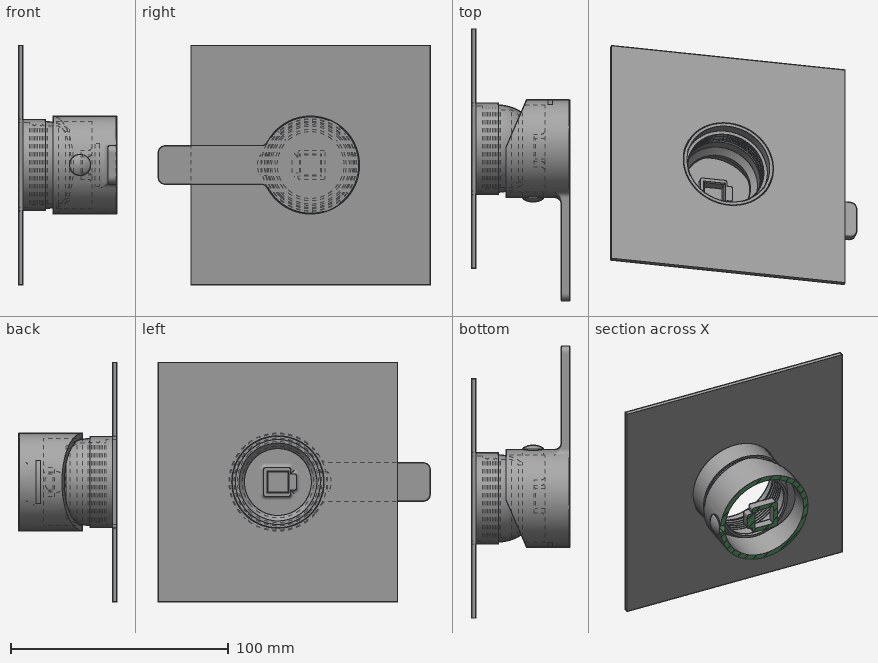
import cadquery as cq
import math


PLATE_SIDE = 110.0
PLATE_THICKNESS = 2.0
PLATE_HOLE_RADIUS = 21.3

COLLAR_RADIUS = 21.0
COLLAR_LENGTH = 12.3
COLLAR_BORE_RADIUS = 19.5
COLLAR_BORE_DEPTH = 5.0
DOME_RADIUS = 20.1
DOME_CENTRE_X = 11.8
DOME_END_X = 23.4
DOME_OPENING_RADIUS = 15.4
DOME_OPENING_X = 21.6
DOME_INNER_RADIUS = 20.8
THREAD_BORE_RADIUS = 17.9
THREAD_BORE_END_X = 18.3
THREAD_PITCH = 1.5
THREAD_DEPTH = 0.8
THREAD_COUNT = 5

CUP_RADIUS = 22.5
CUP_START_X = 15.9
CUP_END_X = 45.1
CUP_BORE_RADIUS = 20.0
CUP_FLOOR_X = 33.8
RIM_ROUND = 0.4
BEVEL_START_Y = 0.9
BEVEL_TOP_X = 25.3

LEVER_TIP_Y = -70.0
LEVER_WIDTH = 17.8
LEVER_THICKNESS = 4.0
LEVER_CORNER_RADIUS = 3.3
LEVER_EDGE_ROUND = 0.6
LEVER_ROOT_RADIUS = 3.0
PICK_MARGIN = 0.1

SOCKET_WIDTH = 13.3
SOCKET_LENGTH = 12.5
SOCKET_END_Y = 6.6
SOCKET_HEIGHT = 5.0
SOCKET_CORNER_RADIUS = 1.0
SOCKET_BASE_RADIUS = 1.9
SOCKET_TAB_REACH = 8.5
SOCKET_TAB_WIDTH = 7.5
SPINDLE_HOLE_SIDE = 9.3
SPINDLE_HOLE_CHAMFER = 0.5

BUTTON_X = 28.3
BUTTON_RADIUS = 4.9
BUTTON_SHOULDER_RADIUS = 4.4
BUTTON_SHOULDER_Y = 23.3
BUTTON_EDGE_Y = 22.8
BUTTON_TOP_Y = 24.5

STRIP_START_X = 35.0
STRIP_WIDTH = 2.3
STRIP_FLOOR_Y = 20.3


def disc(radius, start_x, end_x):
    """Solid cylinder on the X axis."""
    return cq.Workplane("YZ", origin=(start_x, 0, 0)).circle(radius).extrude(end_x - start_x)


def dome_ring(x):
    """Outer radius of the dome at X."""
    return math.sqrt(DOME_RADIUS**2 - (x - DOME_CENTRE_X) ** 2)


def make_plate():
    plate = cq.Workplane("YZ").rect(PLATE_SIDE, PLATE_SIDE).extrude(PLATE_THICKNESS)
    return plate.cut(disc(PLATE_HOLE_RADIUS, 0, PLATE_THICKNESS))


def make_thread_groove(start_x):
    """V-shaped ring cut into the bore behind the collar."""
    groove = cq.Workplane("XY").polyline(
        [
            (start_x, 0),
            (start_x, THREAD_BORE_RADIUS),
            (start_x + THREAD_PITCH / 2, THREAD_BORE_RADIUS + THREAD_DEPTH),
            (start_x + THREAD_PITCH, THREAD_BORE_RADIUS),
            (start_x + THREAD_PITCH, 0),
        ]
    )
    return groove.close().revolve(360, (0, 0, 0), (1, 0, 0))


def make_cover():
    outer_mid_x = (COLLAR_LENGTH + DOME_END_X) / 2
    profile = (
        cq.Workplane("XY")
        .moveTo(0, COLLAR_BORE_RADIUS)
        .lineTo(0, COLLAR_RADIUS)
        .lineTo(COLLAR_LENGTH, COLLAR_RADIUS)
        .lineTo(COLLAR_LENGTH, dome_ring(COLLAR_LENGTH))
        .threePointArc(
            (outer_mid_x, dome_ring(outer_mid_x)),
            (DOME_END_X, dome_ring(DOME_END_X)),
        )
        .lineTo(DOME_END_X, DOME_OPENING_RADIUS)
        .lineTo(DOME_OPENING_X, DOME_OPENING_RADIUS)
        .radiusArc((THREAD_BORE_END_X, THREAD_BORE_RADIUS), -DOME_INNER_RADIUS)
    )
    cover = profile.lineTo(COLLAR_BORE_DEPTH, THREAD_BORE_RADIUS).lineTo(COLLAR_BORE_DEPTH, COLLAR_BORE_RADIUS)
    cover = cover.close().revolve(360, (0, 0, 0), (1, 0, 0))
    for turn in range(THREAD_COUNT):
        cover = cover.cut(make_thread_groove(COLLAR_BORE_DEPTH + (turn + 0.5) * THREAD_PITCH))
    return cover


def make_lever():
    start_x = CUP_END_X - LEVER_THICKNESS
    lever = (
        cq.Workplane("YZ", origin=(start_x, 0, 0))
        .center(LEVER_TIP_Y / 2, 0)
        .rect(-LEVER_TIP_Y, LEVER_WIDTH)
        .extrude(LEVER_THICKNESS)
    )
    return lever.edges("|X and <Y").fillet(LEVER_CORNER_RADIUS)


def make_footed_block(centre_y, length, width):
    """Rounded block with a filleted foot, standing on a round slab sunk into the cup floor."""
    slab = disc(CUP_BORE_RADIUS, CUP_FLOOR_X, CUP_FLOOR_X + SOCKET_BASE_RADIUS)
    block = cq.Workplane("YZ", origin=(CUP_FLOOR_X, centre_y, 0)).rect(length, width).extrude(-SOCKET_HEIGHT)
    block = block.edges("|X").fillet(SOCKET_CORNER_RADIUS)
    foot = cq.selectors.BoxSelector(
        (CUP_FLOOR_X - PICK_MARGIN, centre_y - length / 2 - PICK_MARGIN, -width / 2 - PICK_MARGIN),
        (CUP_FLOOR_X + PICK_MARGIN, centre_y + length / 2 + PICK_MARGIN, width / 2 + PICK_MARGIN),
        boundingbox=True,
    )
    return slab.union(block).edges(foot).fillet(SOCKET_BASE_RADIUS)


def make_socket():
    """Square boss with a narrower tab on its -Y side."""
    body = make_footed_block(SOCKET_END_Y - SOCKET_LENGTH / 2, SOCKET_LENGTH, SOCKET_WIDTH)
    tab = make_footed_block(-SOCKET_TAB_REACH / 2, SOCKET_TAB_REACH, SOCKET_TAB_WIDTH)
    return body.union(tab)


def cut_spindle_hole(handle):
    mouth_x = CUP_FLOOR_X - SOCKET_HEIGHT
    hole = (
        cq.Workplane("YZ", origin=(mouth_x, 0, 0))
        .rect(SPINDLE_HOLE_SIDE, SPINDLE_HOLE_SIDE)
        .extrude(SOCKET_HEIGHT)
    )
    mouth_side = SPINDLE_HOLE_SIDE + 2 * SPINDLE_HOLE_CHAMFER
    mouth = (
        cq.Workplane("YZ", origin=(mouth_x, 0, 0))
        .rect(mouth_side, mouth_side)
        .extrude(SPINDLE_HOLE_CHAMFER, taper=45)
    )
    return handle.cut(hole).cut(mouth)


def make_bevel_cutter():
    """Prism that cuts the +Y half of the cup rim back along a slanted plane."""
    run = BEVEL_TOP_X - CUP_START_X
    rise = CUP_RADIUS - BEVEL_START_Y
    corners = [
        (CUP_START_X, BEVEL_START_Y),
        (CUP_START_X + 2 * run, BEVEL_START_Y + 2 * rise),
        (CUP_START_X, BEVEL_START_Y + 2 * rise),
    ]
    return cq.Workplane("XY").polyline(corners).close().extrude(CUP_RADIUS, both=True)


def make_button():
    """Low stud with a tapered shoulder and a domed top, standing on the -Y side."""
    shoulder_mid = BUTTON_SHOULDER_RADIUS / 2
    rise = BUTTON_TOP_Y - BUTTON_SHOULDER_Y
    crown_radius = (BUTTON_SHOULDER_RADIUS**2 + rise**2) / (2 * rise)
    mid_y = BUTTON_TOP_Y - crown_radius + math.sqrt(crown_radius**2 - shoulder_mid**2)
    return (
        cq.Workplane("XY", origin=(BUTTON_X, 0, 0))
        .moveTo(0, -CUP_BORE_RADIUS)
        .lineTo(BUTTON_RADIUS, -CUP_BORE_RADIUS)
        .lineTo(BUTTON_RADIUS, -BUTTON_EDGE_Y)
        .lineTo(BUTTON_SHOULDER_RADIUS, -BUTTON_SHOULDER_Y)
        .threePointArc((shoulder_mid, -mid_y), (0, -BUTTON_TOP_Y))
        .close()
        .revolve(360, (0, 0, 0), (0, 1, 0))
    )


def make_strip():
    """Slice of the cup's round side, flat on its inner face."""
    block = (
        cq.Workplane("XY")
        .box(STRIP_WIDTH, CUP_RADIUS - STRIP_FLOOR_Y, 2 * CUP_RADIUS, centered=(False, False, True))
        .translate((STRIP_START_X, STRIP_FLOOR_Y, 0))
    )
    return block.intersect(disc(CUP_RADIUS, CUP_START_X, CUP_END_X))


def make_handle(button, strip):
    handle = disc(CUP_RADIUS, CUP_START_X, CUP_END_X).union(make_lever())
    lever_back_x = CUP_END_X - LEVER_THICKNESS
    root_y = -math.sqrt(CUP_RADIUS**2 - (LEVER_WIDTH / 2) ** 2)
    root_zone = cq.selectors.BoxSelector(
        (lever_back_x - PICK_MARGIN, -CUP_RADIUS, -LEVER_WIDTH),
        (CUP_END_X - PICK_MARGIN, root_y + PICK_MARGIN, LEVER_WIDTH),
    )
    handle = handle.edges(root_zone).fillet(LEVER_ROOT_RADIUS)
    back_rim = cq.selectors.BoxSelector(
        (lever_back_x - PICK_MARGIN, LEVER_TIP_Y - PICK_MARGIN, -LEVER_WIDTH),
        (lever_back_x + PICK_MARGIN, -CUP_RADIUS - LEVER_ROOT_RADIUS - PICK_MARGIN, LEVER_WIDTH),
    )
    handle = handle.edges(back_rim).fillet(LEVER_EDGE_ROUND)
    handle = handle.faces(">X").edges().fillet(RIM_ROUND)
    handle = handle.cut(make_bevel_cutter())
    handle = handle.cut(disc(CUP_BORE_RADIUS, CUP_START_X, CUP_FLOOR_X))
    handle = handle.union(make_socket())
    handle = cut_spindle_hole(handle)
    return handle.cut(button).cut(strip)


plate = make_plate()
cover = make_cover()
button = make_button()
strip = make_strip()
handle = make_handle(button, strip)
result = cq.Compound.makeCompound([plate.val(), cover.val(), handle.val(), button.val(), strip.val()])